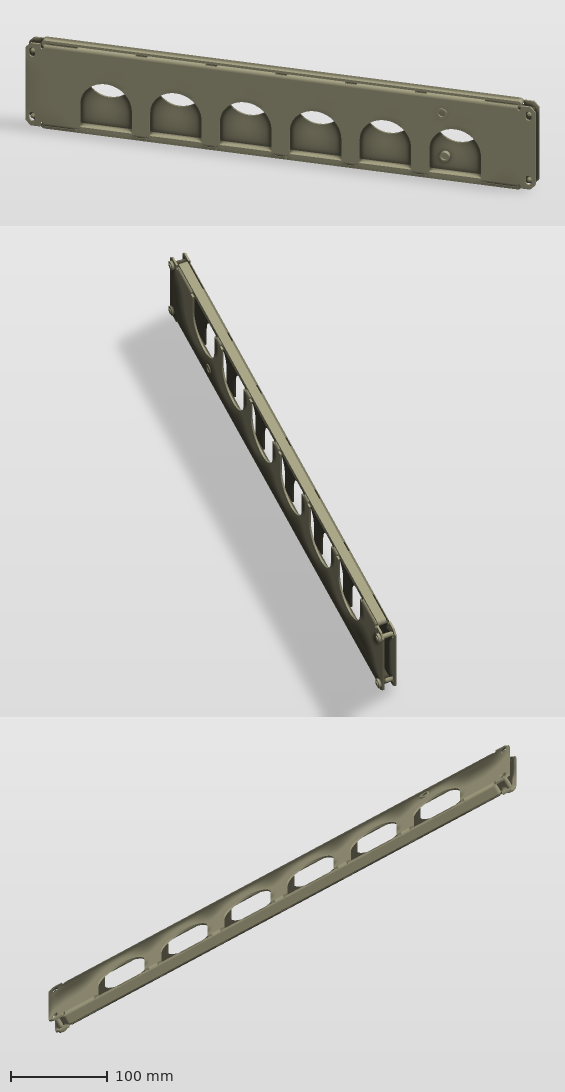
import cadquery as cq
import math

MID_Y = -1.3

LENGTH = 548.0
PANEL_HEIGHT = 95.5
CORNER_CHAMFER = 5.5
DEPTH = 16.0
SHEET = 2.05
BEND_RADIUS = 4.1
FOLD_LENGTH = 509.5

HALF_HEIGHT = PANEL_HEIGHT / 2
FRONT_Y = -DEPTH / 2
INNER_Y = FRONT_Y + SHEET
BEND_END_Y = FRONT_Y + BEND_RADIUS
BEND_START_Z = HALF_HEIGHT - BEND_RADIUS

OVERALL_HEIGHT = 101.0
BAR_LENGTH = 516.0
BAR_HEIGHT = 7.0
BAR_Z = (OVERALL_HEIGHT - BAR_HEIGHT) / 2
BAR_BACK_Y = -INNER_Y

ARCH_COUNT = 6
ARCH_PITCH = 75.0
ARCH_RADIUS = 28.0
ARCH_CENTRE_Z = -17.0

END_TAB = 34.5
MIDDLE_TAB = 10.0
TAB_CLEARANCE = 1.35
NOTCH_INTO_BEND = 2.45

RELIEF_WIDTH = (BAR_LENGTH - FOLD_LENGTH) / 2
RELIEF_DEPTH = 5.5

PIN_X = 267.0
PIN_Z = 38.0
SLOT_Z = 37.0
SLOT_WIDTH = 6.5
SLOT_HEIGHT = 10.5
PIN_HEAD_DIAMETER = 10.5
PIN_HEAD_HEIGHT = 3.0
PIN_CROWN_DIAMETER = 5.5
PIN_CROWN_HEIGHT = 1.05
PIN_SHANK_DIAMETER = 5.5
PIN_SHANK_LENGTH = 9.0
PIN_TIP_DIAMETER = 5.2
PIN_TIP_LENGTH = 6.0
PIN_TIP_CHAMFER = 1.35

STUD_X = 173.5
STUD_Z = 27.5
STUD_HEAD_DIAMETER = 11.5
STUD_HEAD_HEIGHT = 1.15
STUD_DIAMETER = 10.5
STUD_LENGTH = 7.0
STUD_RECESS_DIAMETER = 7.0
STUD_RECESS_DEPTH = 1.5


def box(x0, x1, y0, y1, z0, z1):
    """Box between two opposite corners."""
    return cq.Workplane("XY").box(x1 - x0, y1 - y0, z1 - z0, centered=False).translate((x0, y0, z0))


def cylinder(x, z, diameter, y0, y1):
    """Cylinder along Y between y0 and y1."""
    profile = cq.Workplane("XZ", origin=(x, y0, z)).circle(diameter / 2)
    return profile.extrude(y0 - y1)


def half_turn(body):
    """The body turned half a turn about the X axis."""
    return body.rotate((0, 0, 0), (1, 0, 0), 180)


fold_end = FOLD_LENGTH / 2
middle_tab_centres = [(i - ARCH_COUNT / 2) * ARCH_PITCH for i in range(1, ARCH_COUNT)]
tab_spans = [(-fold_end, END_TAB - fold_end), (fold_end - END_TAB, fold_end)]
tab_spans += [(x - MIDDLE_TAB / 2, x + MIDDLE_TAB / 2) for x in middle_tab_centres]


def plate():
    """Flat sheet with chamfered corners, both long edges cut back to where the folds start."""
    sheet = box(-LENGTH / 2, LENGTH / 2, FRONT_Y, INNER_Y, -HALF_HEIGHT, HALF_HEIGHT)
    sheet = sheet.edges("|Y").chamfer(CORNER_CHAMFER)
    for z0, z1 in ((BEND_START_Z, HALF_HEIGHT), (-HALF_HEIGHT, -BEND_START_Z)):
        sheet = sheet.cut(box(-fold_end, fold_end, FRONT_Y, INNER_Y, z0, z1))
    return sheet


def fold(x0, x1, reach_y, rounded_inside):
    """Bend at the upper edge and the flange behind it, reaching back to reach_y."""
    slant = math.sqrt(0.5)
    inner_radius = BEND_RADIUS - SHEET
    outer_middle = (BEND_END_Y - BEND_RADIUS * slant, BEND_START_Z + BEND_RADIUS * slant)
    inner_middle = (BEND_END_Y - inner_radius * slant, BEND_START_Z + inner_radius * slant)
    underside_z = HALF_HEIGHT - SHEET
    profile = (
        cq.Workplane("YZ", origin=(x0, 0, 0))
        .moveTo(FRONT_Y, BEND_START_Z)
        .threePointArc(outer_middle, (BEND_END_Y, HALF_HEIGHT))
        .lineTo(reach_y, HALF_HEIGHT)
        .lineTo(reach_y, underside_z)
    )
    if rounded_inside:
        profile = profile.lineTo(BEND_END_Y, underside_z).threePointArc(inner_middle, (INNER_Y, BEND_START_Z))
    else:
        profile = profile.lineTo(INNER_Y, underside_z).lineTo(INNER_Y, BEND_START_Z)
    return profile.close().extrude(x1 - x0)


def flange():
    """Full-length fold along the upper edge, notched where the other panel's tabs come in."""
    body = fold(-fold_end, fold_end, BAR_BACK_Y, True)
    notch_y = BEND_END_Y - NOTCH_INTO_BEND
    for x0, x1 in tab_spans:
        notch_start = x0 - TAB_CLEARANCE
        notch_end = x1 + TAB_CLEARANCE
        body = body.cut(box(notch_start, notch_end, notch_y, BAR_BACK_Y, BEND_START_Z, HALF_HEIGHT))
    return body


def arch(x):
    """Cutter for a round-topped opening that runs out through the lower edge."""
    opening = cylinder(x, ARCH_CENTRE_Z, 2 * ARCH_RADIUS, FRONT_Y, INNER_Y)
    legs = box(x - ARCH_RADIUS, x + ARCH_RADIUS, FRONT_Y, INNER_Y, -HALF_HEIGHT, ARCH_CENTRE_Z)
    return opening.union(legs)


def relief(side, end):
    """Cutter for the round-bottomed relief outside the fold at one end of one long edge."""
    x = side * (fold_end + RELIEF_WIDTH / 2)
    round_z = HALF_HEIGHT - RELIEF_DEPTH + RELIEF_WIDTH / 2
    groove = box(x - RELIEF_WIDTH / 2, x + RELIEF_WIDTH / 2, FRONT_Y, INNER_Y, round_z, HALF_HEIGHT)
    groove = groove.union(cylinder(x, round_z, RELIEF_WIDTH, FRONT_Y, INNER_Y))
    return groove if end > 0 else half_turn(groove).translate((0, FRONT_Y + INNER_Y, 0))


def build_panel():
    """Panel with its flange along the top and its arches and tabs along the bottom."""
    panel = plate().union(flange())
    for x0, x1 in tab_spans:
        tab = fold(x0, x1, -BEND_END_Y - TAB_CLEARANCE, False)
        panel = panel.union(tab.mirror("XY"))
    for i in range(ARCH_COUNT):
        panel = panel.cut(arch((i - (ARCH_COUNT - 1) / 2) * ARCH_PITCH))
    for side in (-1, 1):
        for end in (-1, 1):
            panel = panel.cut(relief(side, end))
            slot = cq.Workplane("XZ", origin=(side * PIN_X, FRONT_Y, end * SLOT_Z))
            panel = panel.cut(slot.slot2D(SLOT_HEIGHT, SLOT_WIDTH, 90).extrude(-SHEET))
    return panel.cut(cylinder(STUD_X, STUD_Z, STUD_DIAMETER, FRONT_Y, INNER_Y))


def build_bar():
    """Round-ended bar along the top, slotted through for the flange and the tabs."""
    profile = cq.Workplane("XZ", origin=(0, BEND_END_Y, BAR_Z)).slot2D(BAR_LENGTH, BAR_HEIGHT)
    bar = profile.extrude(BEND_END_Y - BAR_BACK_Y)
    slot = box(-fold_end, fold_end, BEND_END_Y, BAR_BACK_Y, HALF_HEIGHT - SHEET, HALF_HEIGHT)
    return bar.cut(slot)


def build_pin(x, z):
    """Pin with a stepped head on the rear panel and a thinner tip reaching into the front slot."""
    rear_y = DEPTH / 2
    head_y = rear_y + PIN_HEAD_HEIGHT
    shank_y = rear_y - PIN_SHANK_LENGTH
    tip = cylinder(x, z, PIN_TIP_DIAMETER, shank_y - PIN_TIP_LENGTH, shank_y)
    tip = tip.faces("<Y").chamfer(PIN_TIP_CHAMFER)
    pin = cylinder(x, z, PIN_SHANK_DIAMETER, shank_y, rear_y).union(tip)
    pin = pin.union(cylinder(x, z, PIN_HEAD_DIAMETER, rear_y, head_y))
    return pin.union(cylinder(x, z, PIN_CROWN_DIAMETER, head_y, head_y + PIN_CROWN_HEIGHT))


def build_stud():
    """Headed stud through the front panel with a round recess in each end."""
    outer_y = FRONT_Y - STUD_HEAD_HEIGHT
    inner_y = FRONT_Y + STUD_LENGTH
    stud = cylinder(STUD_X, STUD_Z, STUD_DIAMETER, FRONT_Y, inner_y)
    stud = stud.union(cylinder(STUD_X, STUD_Z, STUD_HEAD_DIAMETER, outer_y, FRONT_Y))
    for y0, y1 in ((outer_y, outer_y + STUD_RECESS_DEPTH), (inner_y - STUD_RECESS_DEPTH, inner_y)):
        stud = stud.cut(cylinder(STUD_X, STUD_Z, STUD_RECESS_DIAMETER, y0, y1))
    return stud


panel = build_panel()
bar = build_bar()
stud = build_stud()
bodies = []
for body in (panel, bar, stud):
    bodies += [body, half_turn(body)]
bodies += [build_pin(sx * PIN_X, sz * PIN_Z) for sx in (-1, 1) for sz in (-1, 1)]

result = cq.Compound.makeCompound([body.translate((0, MID_Y, 0)).val() for body in bodies])